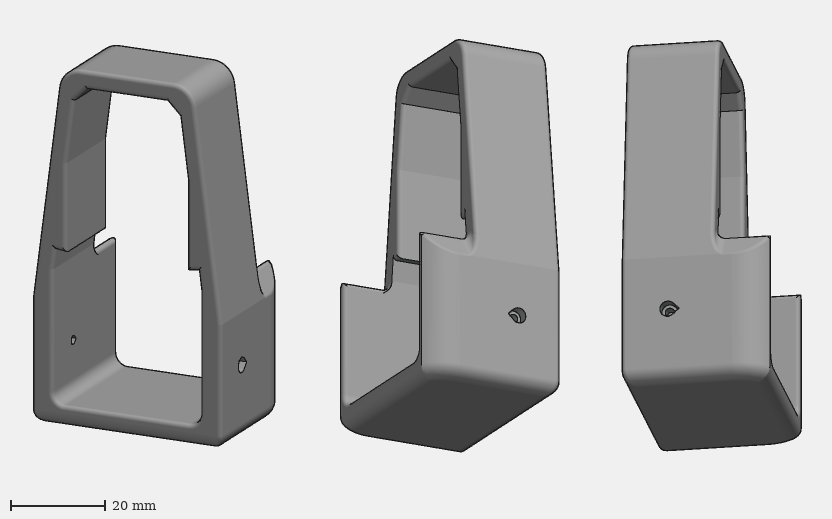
import cadquery as cq
import math

HEIGHT = 80.2
WIDTH = 44.7
HALF_WIDTH = WIDTH / 2
DEPTH = 31.4
ARCH_DEPTH = 20.0
TAPER_START = 27.9
TOP_HALF_WIDTH = 15.55
TOP_RADIUS = 5.2
BOTTOM_RADIUS = 3.0
EDGE_RADIUS = 1.0
BACK_CORNER_RADIUS = 10.0
BACK_CORNER_LENGTH = 7.5

FLOOR = 4.7
BAY_HALF_WIDTH = 17.4
FLOOR_CORNER_RADIUS = 2.7
WALL = 4.0
RAIL_HALF_WIDTH = 14.3
RAIL_BOTTOM = 39.05
CEILING_HALF_WIDTH = 9.5

BEVEL_SLOPE = 1.4
RELIEF_RADIUS = 2.0

HOLE_Y = ARCH_DEPTH / 2
HOLE_Z = 16.3
HOLE_RADIUS = 1.0
COUNTERBORE_RADIUS = 1.7
COUNTERBORE_DEPTH = 2.4

LEAN = (HALF_WIDTH - TOP_HALF_WIDTH) / (HEIGHT - TAPER_START)
CEILING = HEIGHT - WALL
LEANING_WALL_WIDTH = WALL * math.hypot(1, LEAN)
BACK_ARC_START = DEPTH - BACK_CORNER_LENGTH
MARGIN = 4.0
NEAR = 0.1


def leaning_x(z):
    """Half width of the opening between the leaning walls."""
    return HALF_WIDTH - LEANING_WALL_WIDTH - LEAN * (z - TAPER_START)


def leaning_z(x):
    """Height where the opening between the leaning walls has half width x."""
    return TAPER_START + (HALF_WIDTH - LEANING_WALL_WIDTH - x) / LEAN


def symmetric_prism(right_side):
    """Extrude an outline, given by its right half, over the full depth."""
    left_side = [(-x, z) for x, z in reversed(right_side)]
    return cq.Workplane("XZ").polyline(right_side + left_side).close().extrude(-DEPTH)


def make_footprint():
    """Plan shape whose back corner arcs are tangent to the sides only."""
    centre_x = HALF_WIDTH - BACK_CORNER_RADIUS
    end_angle = math.asin(BACK_CORNER_LENGTH / BACK_CORNER_RADIUS)

    def arc_point(angle):
        x = centre_x + BACK_CORNER_RADIUS * math.cos(angle)
        y = BACK_ARC_START + BACK_CORNER_RADIUS * math.sin(angle)
        return x, y

    middle_x, middle_y = arc_point(end_angle / 2)
    end_x, end_y = arc_point(end_angle)
    return (
        cq.Workplane("XY")
        .moveTo(-HALF_WIDTH, 0)
        .lineTo(HALF_WIDTH, 0)
        .lineTo(HALF_WIDTH, BACK_ARC_START)
        .threePointArc((middle_x, middle_y), (end_x, end_y))
        .lineTo(-end_x, end_y)
        .threePointArc((-middle_x, middle_y), (-HALF_WIDTH, BACK_ARC_START))
        .close()
        .extrude(HEIGHT)
    )


def make_blank():
    """Solid body with a rounded top and rounded bottom edges."""
    right_side = [(HALF_WIDTH, 0), (HALF_WIDTH, TAPER_START), (TOP_HALF_WIDTH, HEIGHT)]
    body = symmetric_prism(right_side).edges("|Y and >Z").fillet(TOP_RADIUS)
    return body.intersect(make_footprint()).edges("<Z").fillet(BOTTOM_RADIUS)


def make_opening():
    corner_z = (CEILING + CEILING_HALF_WIDTH - leaning_x(0)) / (1 - LEAN)
    ledge_z = RAIL_BOTTOM + LEAN * (leaning_x(RAIL_BOTTOM) - RAIL_HALF_WIDTH)
    right_side = [
        (BAY_HALF_WIDTH, FLOOR),
        (BAY_HALF_WIDTH, leaning_z(BAY_HALF_WIDTH)),
        (leaning_x(ledge_z), ledge_z),
        (RAIL_HALF_WIDTH, RAIL_BOTTOM),
        (RAIL_HALF_WIDTH, leaning_z(RAIL_HALF_WIDTH)),
        (leaning_x(corner_z), corner_z),
        (CEILING_HALF_WIDTH, CEILING),
    ]
    return symmetric_prism(right_side).edges("|Y and <Z").fillet(FLOOR_CORNER_RADIUS)


def make_relief():
    """Space behind the arch, leaving bevelled base walls with a rounded crest."""
    normal_angle = math.atan(1 / BEVEL_SLOPE)
    normal_x = math.cos(normal_angle)
    normal_z = math.sin(normal_angle)
    outer_x = HALF_WIDTH + MARGIN
    outer_z = TAPER_START - MARGIN * BEVEL_SLOPE
    top_z = HEIGHT + MARGIN
    low_z = FLOOR + FLOOR_CORNER_RADIUS + MARGIN

    crest_x = BAY_HALF_WIDTH + EDGE_RADIUS
    crest_z = TAPER_START + ((HALF_WIDTH - crest_x) * normal_x - EDGE_RADIUS) / normal_z

    def crest_point(angle):
        x = crest_x + EDGE_RADIUS * math.cos(angle)
        return x, crest_z + EDGE_RADIUS * math.sin(angle)

    half = (
        cq.Workplane("XZ", origin=(0, ARCH_DEPTH, 0))
        .moveTo(0, top_z)
        .lineTo(outer_x, top_z)
        .lineTo(outer_x, outer_z)
        .lineTo(*crest_point(normal_angle))
        .threePointArc(crest_point((normal_angle + math.pi) / 2), crest_point(math.pi))
        .lineTo(BAY_HALF_WIDTH, low_z)
        .lineTo(0, low_z)
        .close()
        .extrude(-DEPTH)
    )
    wall_edges = cq.selectors.BoxSelector(
        (BAY_HALF_WIDTH - NEAR, ARCH_DEPTH - NEAR, low_z + NEAR),
        (outer_x - NEAR, ARCH_DEPTH + NEAR, HEIGHT / 2),
    )
    half = half.edges(wall_edges).fillet(RELIEF_RADIUS)
    return half.union(half.mirror("YZ"))


def make_back_rounding():
    """Material removed to round the back edge of the opening in the base."""
    top_z = leaning_z(BAY_HALF_WIDTH) - NEAR
    slab = cq.Workplane("XY").box(WIDTH, DEPTH, top_z, centered=(True, False, False))
    slab = slab.cut(make_opening())
    opening_edges = cq.selectors.BoxSelector(
        (-BAY_HALF_WIDTH - NEAR, DEPTH - NEAR, NEAR),
        (BAY_HALF_WIDTH + NEAR, DEPTH + NEAR, top_z - NEAR),
    )
    return slab.cut(slab.edges(opening_edges).fillet(EDGE_RADIUS))


def round_edges(body):
    """Round the exposed edges of the base walls and both faces of the arch."""
    for inner_x, outer_x in ((BAY_HALF_WIDTH, HALF_WIDTH), (-HALF_WIDTH, -BAY_HALF_WIDTH)):
        corner_arc = cq.selectors.BoxSelector(
            (inner_x, BACK_ARC_START, TAPER_START),
            (outer_x, DEPTH - EDGE_RADIUS, TAPER_START + BACK_CORNER_LENGTH),
        )
        body = body.edges(corner_arc).edges("%ELLIPSE").fillet(EDGE_RADIUS)
    body = body.faces(">Z").edges(">Y").fillet(EDGE_RADIUS)

    arch_opening = cq.selectors.BoxSelector(
        (-BAY_HALF_WIDTH, ARCH_DEPTH - NEAR, RAIL_BOTTOM - NEAR),
        (BAY_HALF_WIDTH, ARCH_DEPTH + NEAR, CEILING + NEAR),
    )
    body = body.edges(arch_opening).fillet(EDGE_RADIUS)
    body = body.faces("<Y").edges("not <Z").fillet(EDGE_RADIUS)
    return body.cut(make_back_rounding())


def make_teardrop(radius, start_x, length):
    """Bore along X with a 45 degree point towards the back."""
    offset = radius * math.sqrt(0.5)
    return (
        cq.Workplane("YZ", origin=(start_x, HOLE_Y, HOLE_Z))
        .moveTo(offset, offset)
        .threePointArc((-radius, 0), (offset, -offset))
        .lineTo(2 * offset, 0)
        .close()
        .extrude(length)
    )


def make_holes():
    holes = make_teardrop(HOLE_RADIUS, -HALF_WIDTH, WIDTH)
    for start_x in (-HALF_WIDTH, HALF_WIDTH - COUNTERBORE_DEPTH):
        holes = holes.union(make_teardrop(COUNTERBORE_RADIUS, start_x, COUNTERBORE_DEPTH))
    return holes


frame = make_blank().cut(make_relief()).cut(make_opening())
result = round_edges(frame).cut(make_holes())